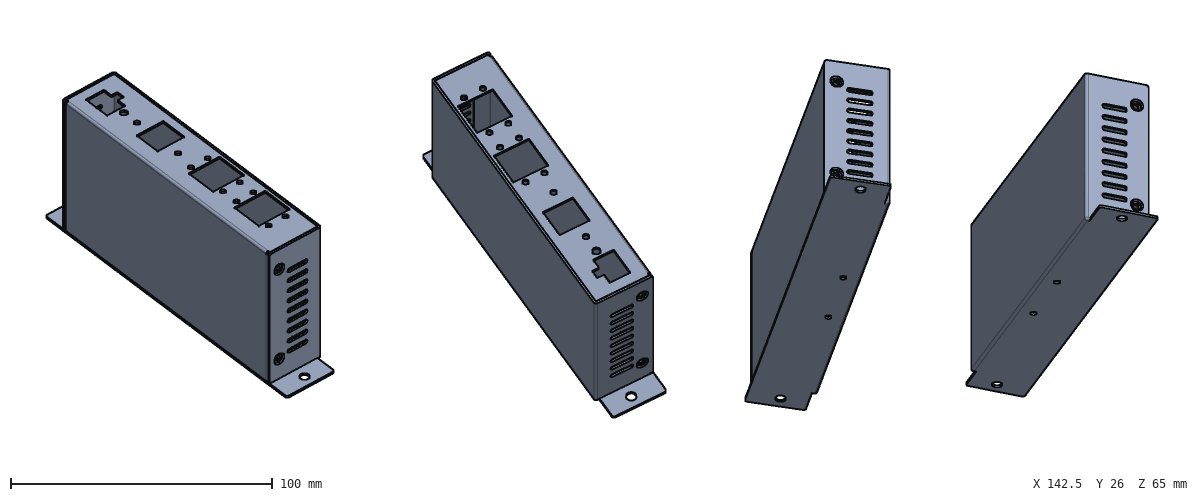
import cadquery as cq

FLANGE_LENGTH = 142.5
DEPTH = 26.0
HEIGHT = 65.0
CASE_LENGTH = 122.3
SHEET = 1.0
BEND_RADIUS = 1.07
INNER_BEND = BEND_RADIUS - SHEET

FRONT_Y = -DEPTH / 2
BACK_Y = DEPTH / 2

FLANGE_BACK_Y = 11.0
FLANGE_CORNER_RADIUS = 1.0
MOUNT_HOLE_X = 66.4
MOUNT_HOLE_DIAMETER = 4.0
WALL_CORNER_RADIUS = 1.1
BASE_HOLE_POINTS = [(-13.1, 6.1), (11.8, 6.1)]
BASE_HOLE_DIAMETER = 2.4

SLOT_COUNT = 9
SLOT_PITCH = 5.0
SLOT_LENGTH = 10.0
SLOT_HEIGHT = 2.0
SLOT_CENTRE_Y = 1.0
SLOT_CENTRE_Z = 32.0

SCREW_Y = -8.1
SCREW_HEIGHTS = [10.7, 55.1]
CLEARANCE_DIAMETER = 4.0
SINK_DIAMETER = 5.1
SINK_DEPTH = (SINK_DIAMETER - CLEARANCE_DIAMETER) / 2
SCREW_HOLE_DIAMETER = 2.4

SIDE_GAP = 0.1
COVER_LENGTH = CASE_LENGTH - 2 * (SHEET + SIDE_GAP)
LIP_DEPTH = 8.0
TOP_CORNER_RADIUS = 0.7

PORT_BACK_Y = 10.5
PORT_FRONT_Y = -5.0
PORT_WIDTH = 14.5
PORT_CENTRES_X = [11.1, 38.0]
PORT_SCREW_SPACING_X = 19.0
PORT_SCREW_SPACING_Y = 8.4
PORT_SCREW_CENTRE_Y = 2.3
PORT_SCREW_DIAMETER = 2.4

SQUARE_CENTRE = (-20.1, 1.3)
SQUARE_SIZE = (12.5, 13.4)

JACK_CENTRE_X = -49.0
JACK_FRONT_Y = -6.3
JACK_SHOULDER_Y = 2.8
JACK_TAB_Y = 5.8
JACK_WIDTH = 12.5
JACK_TAB_WIDTH = 3.8

INDICATOR_Y = -0.3
BUTTON_X = -39.9
BUTTON_DIAMETER = 3.3
LIGHT_POSITIONS_X = [-32.0, -8.0]
LIGHT_DIAMETER = 2.5


def block(x_size, y_range, z_range):
    """Box centred on X = 0 that spans the given Y and Z ranges."""
    y_low, y_high = y_range
    z_low, z_high = z_range
    return (
        cq.Workplane("XY")
        .box(x_size, y_high - y_low, z_high - z_low, centered=(True, False, False))
        .translate((0, y_low, z_low))
    )


def across_x():
    """YZ workplane on the -X end of the case, from which cuts run right across the case."""
    return cq.Workplane("YZ", origin=(-CASE_LENGTH / 2, 0, 0))


def through_z(points, diameter):
    """Vertical round cutters that reach through the whole height."""
    return cq.Workplane("XY").pushPoints(points).circle(diameter / 2).extrude(HEIGHT)


def vent_slots():
    return (
        across_x()
        .center(SLOT_CENTRE_Y, SLOT_CENTRE_Z)
        .rarray(1.4, SLOT_PITCH, 1, SLOT_COUNT)
        .slot2D(SLOT_LENGTH, SLOT_HEIGHT)
        .extrude(CASE_LENGTH)
    )


def screw_holes(diameter):
    """Round cutters along X at both screw heights."""
    points = [(SCREW_Y, z) for z in SCREW_HEIGHTS]
    return across_x().pushPoints(points).circle(diameter / 2).extrude(CASE_LENGTH)


def countersinks():
    """Cones that narrow into each side wall from its outer face."""
    cones = []
    for side in (-1, 1):
        for z in SCREW_HEIGHTS:
            cones.append(
                cq.Solid.makeCone(
                    SINK_DIAMETER / 2,
                    CLEARANCE_DIAMETER / 2,
                    SINK_DEPTH,
                    pnt=cq.Vector(side * CASE_LENGTH / 2, SCREW_Y, z),
                    dir=cq.Vector(-side, 0, 0),
                )
            )
    return cones


def make_housing():
    outer = block(CASE_LENGTH, (FRONT_Y, BACK_Y), (0, HEIGHT))
    outer = outer.edges("|Z and >Y").fillet(BEND_RADIUS)
    outer = outer.faces("<Z").edges(">Y").fillet(BEND_RADIUS)
    inner = block(CASE_LENGTH - 2 * SHEET, (FRONT_Y, BACK_Y - SHEET), (SHEET, HEIGHT))
    inner = inner.edges("|Z and >Y").fillet(INNER_BEND)
    tray = outer.cut(inner)

    profile = block(CASE_LENGTH, (FRONT_Y, BACK_Y), (SHEET, HEIGHT))
    profile = profile.edges("|X and <Y").fillet(WALL_CORNER_RADIUS)
    base_zone = block(CASE_LENGTH, (FRONT_Y, BACK_Y), (0, SHEET))
    tray = tray.intersect(profile.union(base_zone))

    base = block(FLANGE_LENGTH, (FRONT_Y, FLANGE_BACK_Y), (0, SHEET))
    base = base.edges("|Z").fillet(FLANGE_CORNER_RADIUS)
    housing = tray.union(base)

    mount_points = [(-MOUNT_HOLE_X, 0), (MOUNT_HOLE_X, 0)]
    housing = housing.cut(through_z(mount_points, MOUNT_HOLE_DIAMETER))
    housing = housing.cut(through_z(BASE_HOLE_POINTS, BASE_HOLE_DIAMETER))
    housing = housing.cut(vent_slots())
    housing = housing.cut(screw_holes(CLEARANCE_DIAMETER))
    for cone in countersinks():
        housing = housing.cut(cq.Workplane(cone))
    return housing


def port_openings():
    """Two rectangular ports, each with four screw holes around it."""
    cutters = cq.Workplane("XY")
    for x in PORT_CENTRES_X:
        opening = block(PORT_WIDTH, (PORT_FRONT_Y, PORT_BACK_Y), (HEIGHT - SHEET, HEIGHT))
        screws = (
            cq.Workplane("XY", origin=(x, PORT_SCREW_CENTRE_Y, 0))
            .rarray(PORT_SCREW_SPACING_X, PORT_SCREW_SPACING_Y, 2, 2)
            .circle(PORT_SCREW_DIAMETER / 2)
            .extrude(HEIGHT)
        )
        cutters = cutters.add(opening.translate((x, 0, 0))).add(screws)
    return cutters


def square_opening():
    return cq.Workplane("XY").center(*SQUARE_CENTRE).rect(*SQUARE_SIZE).extrude(HEIGHT)


def jack_opening():
    """Rectangular jack opening with a narrower latch tab behind it."""
    top_zone = (HEIGHT - SHEET, HEIGHT)
    body = block(JACK_WIDTH, (JACK_FRONT_Y, JACK_SHOULDER_Y), top_zone)
    tab = block(JACK_TAB_WIDTH, (JACK_FRONT_Y, JACK_TAB_Y), top_zone)
    return body.union(tab).translate((JACK_CENTRE_X, 0, 0))


def corner_reliefs():
    """Square notches where the side bends would meet the top bend."""
    notch = block(
        2 * BEND_RADIUS,
        (FRONT_Y, FRONT_Y + BEND_RADIUS),
        (HEIGHT - BEND_RADIUS, HEIGHT),
    )
    half_length = COVER_LENGTH / 2
    return notch.translate((-half_length, 0, 0)).union(notch.translate((half_length, 0, 0)))


def make_cover():
    outer = block(COVER_LENGTH, (FRONT_Y, BACK_Y - SHEET), (SHEET, HEIGHT))
    outer = outer.edges("(|Z and <Y) or (|X and <Y and >Z)").fillet(BEND_RADIUS)
    outer = outer.edges("|Z and >Y").fillet(TOP_CORNER_RADIUS)
    inner = block(
        COVER_LENGTH - 2 * SHEET,
        (FRONT_Y + SHEET, BACK_Y - SHEET),
        (SHEET, HEIGHT - SHEET),
    )
    inner = inner.edges("(|Z and <Y) or (|X and <Y and >Z)").fillet(INNER_BEND)
    cover = outer.cut(inner)

    lip_trim = block(COVER_LENGTH, (FRONT_Y + LIP_DEPTH, BACK_Y), (SHEET, HEIGHT - SHEET))
    cover = cover.cut(lip_trim)
    cover = cover.cut(corner_reliefs())

    cover = cover.cut(screw_holes(SCREW_HOLE_DIAMETER))
    for cutter in port_openings().vals():
        cover = cover.cut(cq.Workplane(cutter))
    cover = cover.cut(square_opening())
    cover = cover.cut(jack_opening())
    cover = cover.cut(through_z([(BUTTON_X, INDICATOR_Y)], BUTTON_DIAMETER))
    light_points = [(x, INDICATOR_Y) for x in LIGHT_POSITIONS_X]
    return cover.cut(through_z(light_points, LIGHT_DIAMETER))


housing = make_housing()
cover = make_cover()
result = cq.Compound.makeCompound([housing.val(), cover.val()])